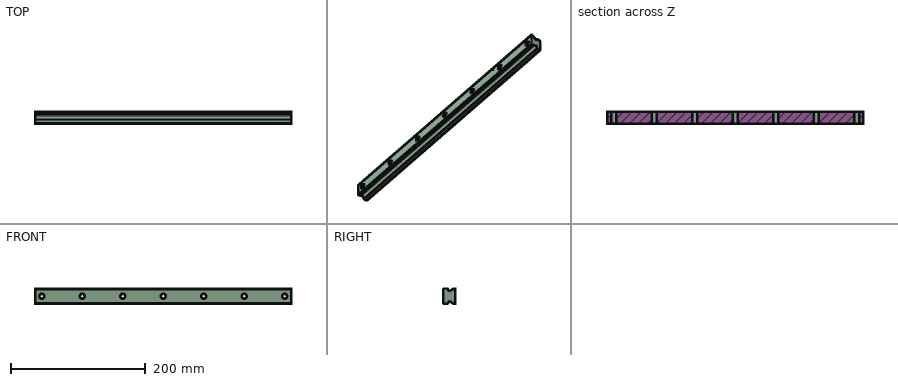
import cadquery as cq
import math

rail_length = 380.0
rail_height = 18.0
rail_width = 23.0

hole_count = 7
hole_pitch = 60.0
hole_diameter = 7.0

base_chamfer = 1.5
foot_height = 6.4
head_wall_slope = math.radians(30)
groove_root_radius = 1.0

raceway_radius = 1.75
raceway_height = 14.1
raceway_standoff = 0.6
raceway_start_angle = -math.asin(raceway_standoff / raceway_radius)
raceway_end_angle = math.radians(-95)

half_width = rail_width / 2
base_y = -rail_height / 2
head_y = rail_height / 2


def raceway_point(angle):
    center_y = base_y + raceway_height
    center_z = half_width + raceway_standoff
    return (
        center_y + raceway_radius * math.cos(angle),
        center_z + raceway_radius * math.sin(angle),
    )


foot_corner = (base_y + foot_height, half_width)
raceway_start = raceway_point(raceway_start_angle)
raceway_middle = raceway_point((raceway_start_angle + raceway_end_angle) / 2)
raceway_end = raceway_point(raceway_end_angle)


def groove_root_point():
    """Point (y, z) where the two perpendicular V-groove walls meet."""
    along_y = raceway_end[0] - foot_corner[0]
    along_z = raceway_end[1] - foot_corner[1]
    foot_wall_length = along_y * math.sin(head_wall_slope) - along_z * math.cos(head_wall_slope)
    return (
        foot_corner[0] + foot_wall_length * math.sin(head_wall_slope),
        foot_corner[1] - foot_wall_length * math.cos(head_wall_slope),
    )


def upper_half():
    """The part of the rail above its middle plane."""
    groove_root = groove_root_point()
    profile = (
        cq.Workplane("YZ", origin=(-rail_length / 2, 0, 0))
        .moveTo(base_y, 0)
        .lineTo(base_y, half_width - base_chamfer)
        .lineTo(base_y + base_chamfer, half_width)
        .lineTo(*foot_corner)
        .lineTo(*groove_root)
        .lineTo(*raceway_end)
        .threePointArc(raceway_middle, raceway_start)
        .lineTo(head_y, half_width)
        .lineTo(head_y, 0)
        .close()
    )
    root_edge = cq.selectors.NearestToPointSelector((0, *groove_root))
    return profile.extrude(rail_length).edges(root_edge).fillet(groove_root_radius)


def rail_body():
    half = upper_half()
    return half.union(half.mirror("XY")).clean()


def mounting_holes():
    first_x = -hole_pitch * (hole_count - 1) / 2
    centers = [(first_x + i * hole_pitch, 0) for i in range(hole_count)]
    drill_plane = cq.Workplane("XZ", origin=(0, head_y, 0))
    return drill_plane.pushPoints(centers).circle(hole_diameter / 2).extrude(rail_height)


result = rail_body().cut(mounting_holes())